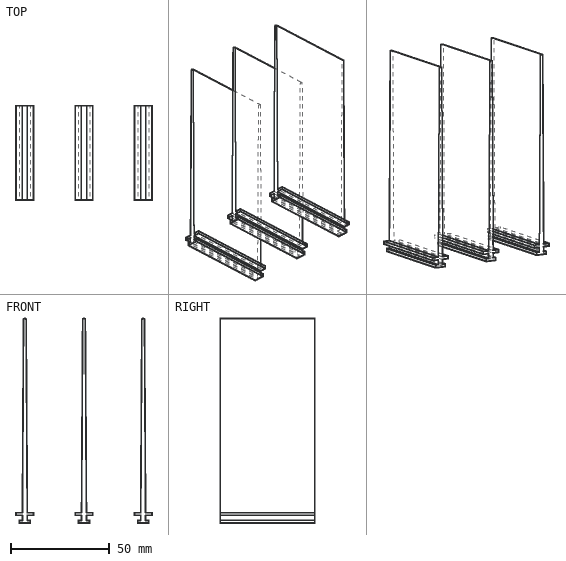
import cadquery as cq

FIN_COUNT = 3
FIN_PITCH = 30.0
FIN_HEIGHT = 103.8
FIN_LENGTH = 48.0

FLANGE_WIDTH = 9.0
FLANGE_THICKNESS = 1.5
FOOT_WIDTH = 5.7
FOOT_THICKNESS = 1.5
NECK_WIDTH = 2.6
NECK_HEIGHT = 2.5

TIP_WIDTH = 1.5
TIP_RADIUS = TIP_WIDTH / 2

NECK_TOP = FOOT_THICKNESS + NECK_HEIGHT
FLANGE_TOP = NECK_TOP + FLANGE_THICKNESS


def base_bar(width, thickness, bottom):
    """Rectangular bar running the fin length, centred on X and Y."""
    return (
        cq.Workplane("XY")
        .workplane(offset=bottom)
        .rect(width, FIN_LENGTH)
        .extrude(thickness)
    )


def tapered_blade():
    """Upright blade with a slight taper and a half-round top edge."""
    root = NECK_WIDTH / 2
    shoulder = FIN_HEIGHT - TIP_RADIUS
    return (
        cq.Workplane("XZ")
        .moveTo(-root, FLANGE_TOP)
        .lineTo(root, FLANGE_TOP)
        .lineTo(TIP_RADIUS, shoulder)
        .threePointArc((0, FIN_HEIGHT), (-TIP_RADIUS, shoulder))
        .close()
        .extrude(FIN_LENGTH / 2, both=True)
    )


def make_fin(x):
    """One complete fin centred at the given X position."""
    foot = base_bar(FOOT_WIDTH, FOOT_THICKNESS, 0)
    neck = base_bar(NECK_WIDTH, NECK_HEIGHT, FOOT_THICKNESS)
    flange = base_bar(FLANGE_WIDTH, FLANGE_THICKNESS, NECK_TOP)
    fin = foot.union(neck).union(flange).union(tapered_blade())
    return fin.translate((x, 0, 0))


fins = []
for index in range(FIN_COUNT):
    offset = index - (FIN_COUNT - 1) / 2
    fins.append(make_fin(offset * FIN_PITCH))

result = cq.Compound.makeCompound([fin.val() for fin in fins])